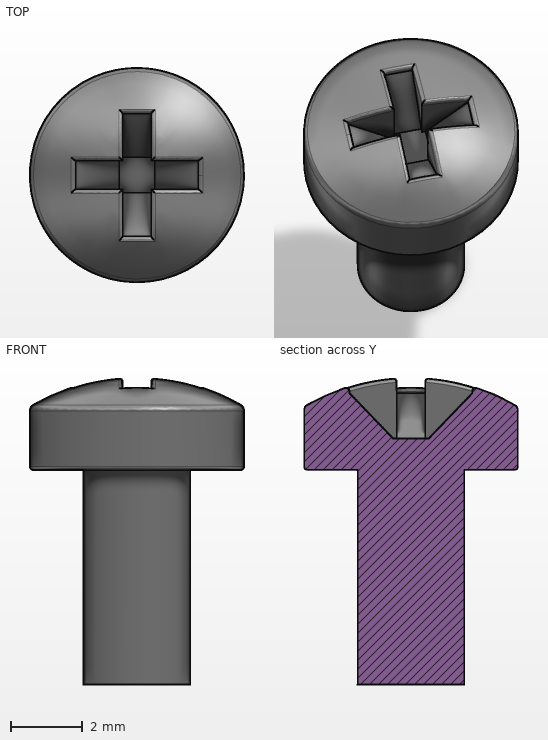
import cadquery as cq
import math

shank_length = 6.0
shank_diameter = 3.0
head_diameter = 6.0
crown_apex_height = 8.6
crown_radius = 5.82
shoulder_fillet = 0.2
underside_fillet = 0.1

arm_width = 0.8
arm_span = 3.42
rim_fillet = 0.1
floor_square = arm_width + 2 * rim_fillet
floor_height = 6.89
arm_end_height = 8.15

head_radius = head_diameter / 2


def crown_height(radius):
    """Height of the spherical crown at a given distance from the axis."""
    drop = crown_radius - math.sqrt(crown_radius**2 - radius**2)
    return crown_apex_height - drop


def make_head():
    """Revolved head with its outer corners rounded."""
    mid_radius = head_radius / 2
    profile = (
        cq.Workplane("XZ")
        .moveTo(0, shank_length)
        .lineTo(head_radius, shank_length)
        .lineTo(head_radius, crown_height(head_radius))
        .threePointArc((mid_radius, crown_height(mid_radius)), (0, crown_apex_height))
        .close()
    )
    head = profile.revolve(360, (0, 0, 0), (0, 1, 0))
    underside_edge = head.faces("<Z").edges()
    head = underside_edge.fillet(underside_fillet)
    shoulder_height = crown_height(head_radius)
    shoulder = cq.selectors.BoxSelector(
        (-head_radius, -head_radius, shoulder_height - shoulder_fillet),
        (head_radius, head_radius, shoulder_height + shoulder_fillet),
    )
    return head.edges(shoulder).fillet(shoulder_fillet)


def make_slot():
    """One full-length slot along X with a sloping floor at each end."""
    half_span = arm_span / 2
    half_floor = floor_square / 2
    slot_top = crown_apex_height + rim_fillet
    outline = [
        (-half_span, slot_top),
        (-half_span, arm_end_height),
        (-half_floor, floor_height),
        (half_floor, floor_height),
        (half_span, arm_end_height),
        (half_span, slot_top),
    ]
    return cq.Workplane("XZ").polyline(outline).close().extrude(arm_width / 2, both=True)


def cut_cross_recess(head):
    """Cut two crossed slots and round the rim where they meet the crown."""
    slot = make_slot()
    cross = slot.union(slot.rotate((0, 0, 0), (0, 0, 1), 90))
    crown = head.cut(cross)
    reach = arm_span / 2 + rim_fillet
    rim = cq.selectors.BoxSelector(
        (-reach, -reach, crown_height(reach)),
        (reach, reach, crown_apex_height),
    )
    return crown.edges(rim).edges("not |Z").fillet(rim_fillet)


shank = cq.Workplane("XY").circle(shank_diameter / 2).extrude(shank_length)
result = shank.union(cut_cross_recess(make_head()))